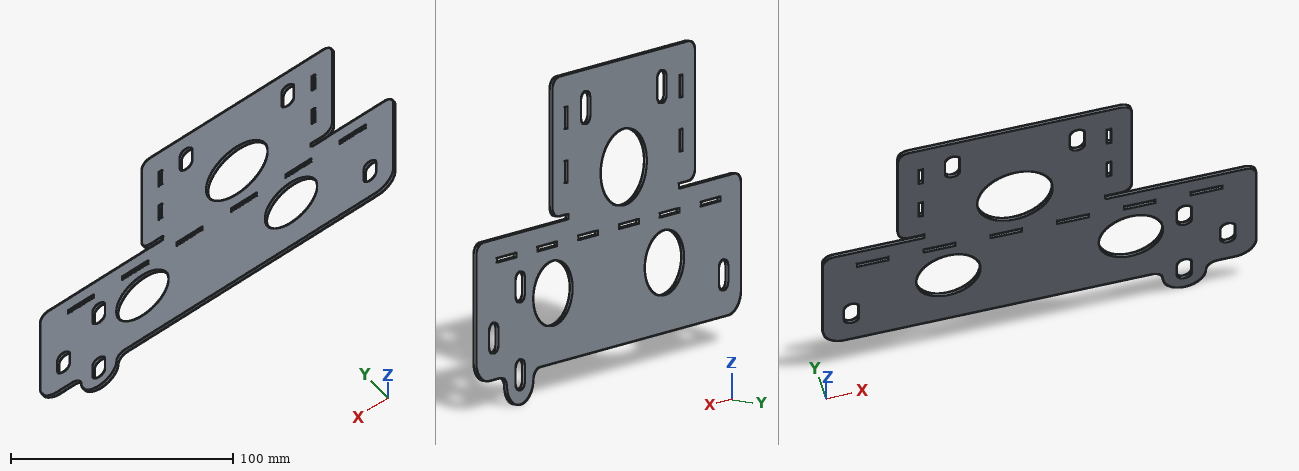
import cadquery as cq

thickness = 1.65

base_width = 202.0
base_height = 64.5
base_top_radius = 5.0
base_bottom_radius = 10.0

upper_x = -11.5
upper_width = 108.9
upper_top = 131.0
upper_radius = 5.0
neck_width = 84.2
notch_height = 2.5
notch_radius = 1.0
upper_bottom = base_height + notch_height
upper_height = upper_top - upper_bottom

slot_width = 7.0
slot_length = 14.1
slot_step = 20.2
side_slot_x = 87.7
side_slot_z = 19.2
tab_x = side_slot_x - slot_step
tab_slot_z = side_slot_z - slot_step
upper_slot_length = 15.2
upper_slot_spacing = 58.2
upper_slot_z = 113.5

tab_radius = 10.0
tab_drop = 14.7
tab_fillet = 5.0
tab_center_z = tab_radius - tab_drop

upper_hole_diameter = 35.1
upper_hole_z = 81.5
base_hole_diameter = 29.9
base_hole_spacing = 85.0
base_hole_z = 32.3

slit_width = 2.0
base_slit_length = 14.7
base_slit_count = 6
base_slit_pitch = 31.1
base_slit_z = 54.5
upper_slit_length = 10.0
upper_slit_spacing = 87.7
upper_slit_top_z = 111.3
upper_slit_drop = 24.8


def sketch_at(x, z):
    """Workplane facing -Y, on the middle of the thickness, with its origin at (x, z)."""
    return cq.Workplane("XZ").center(x, z)


def panel(x, bottom, width, height):
    """Rectangular panel centred on x and standing on the given bottom height."""
    return sketch_at(x, bottom + height / 2).rect(width, height).extrude(thickness / 2, both=True)


def disc(x, z, diameter):
    return sketch_at(x, z).circle(diameter / 2).extrude(thickness / 2, both=True)


def upright_slot(x, z, length):
    return sketch_at(x, z).slot2D(length, slot_width, 90).extrude(thickness / 2, both=True)


def slit(x, z, width, height):
    return panel(x, z - height / 2, width, height)


def make_base():
    base = panel(0, 0, base_width, base_height)
    base = base.edges("|Y and >Z").fillet(base_top_radius)
    return base.edges("|Y and <Z").fillet(base_bottom_radius)


def make_upper():
    upper = panel(upper_x, upper_bottom, upper_width, upper_height)
    return upper.edges("|Y").fillet(upper_radius)


def make_neck():
    return panel(upper_x, base_height - notch_height, neck_width, 3 * notch_height)


def make_tab():
    stem = panel(tab_x, tab_center_z, 2 * tab_radius, -tab_center_z)
    return stem.union(disc(tab_x, tab_center_z, 2 * tab_radius))


def make_blank():
    blank = make_base().union(make_upper()).union(make_neck()).union(make_tab())
    for side in (-1, 1):
        tab_corner = cq.selectors.NearestToPointSelector((tab_x + side * tab_radius, 0, 0))
        blank = blank.edges("|Y").edges(tab_corner).fillet(tab_fillet)
        notch_x = upper_x + side * neck_width / 2
        notch_corner = cq.selectors.NearestToPointSelector((notch_x, 0, base_height))
        blank = blank.edges("|Y").edges(notch_corner).fillet(notch_radius)
    return blank


def make_openings():
    openings = [disc(upper_x, upper_hole_z, upper_hole_diameter)]
    for side in (-1, 1):
        openings.append(disc(side * base_hole_spacing / 2, base_hole_z, base_hole_diameter))
        openings.append(upright_slot(side * side_slot_x, side_slot_z, slot_length))
        slot_x = upper_x + side * upper_slot_spacing / 2
        openings.append(upright_slot(slot_x, upper_slot_z, upper_slot_length))
        slit_x = upper_x + side * upper_slit_spacing / 2
        for slit_z in (upper_slit_top_z, upper_slit_top_z - upper_slit_drop):
            openings.append(slit(slit_x, slit_z, slit_width, upper_slit_length))
    for slot_z in (tab_slot_z, side_slot_z + slot_step):
        openings.append(upright_slot(tab_x, slot_z, slot_length))
    for index in range(base_slit_count):
        slit_x = (index - (base_slit_count - 1) / 2) * base_slit_pitch
        openings.append(slit(slit_x, base_slit_z, base_slit_length, slit_width))
    return openings


result = make_blank()
for opening in make_openings():
    result = result.cut(opening)